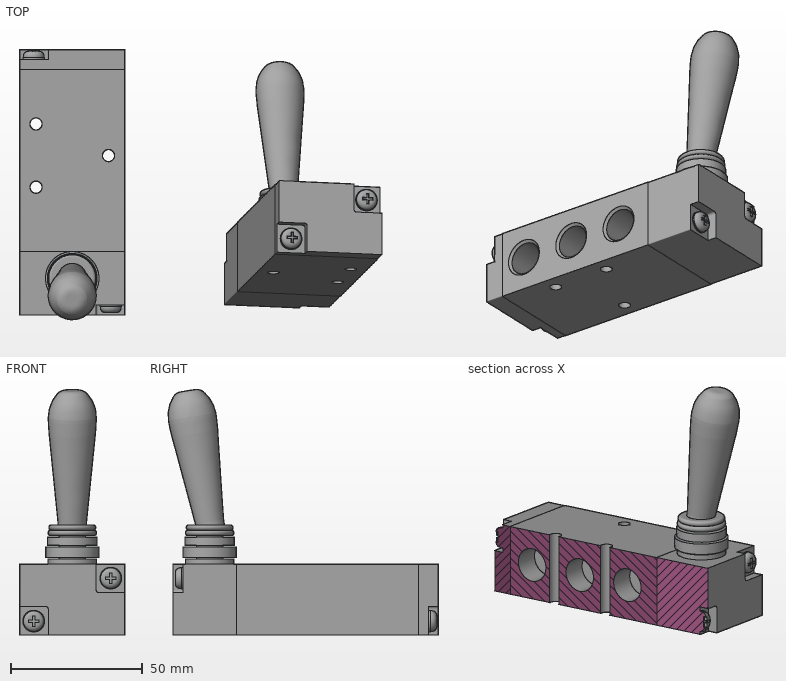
import cadquery as cq


WIDTH = 40.0
HEIGHT = 27.0
LENGTH = 101.0
FRONT_CAP_LENGTH = 24.2
REAR_CAP_LENGTH = 7.5
BODY_LENGTH = LENGTH - FRONT_CAP_LENGTH - REAR_CAP_LENGTH
CAP_EDGE_RADIUS = 0.3

PORT_PITCH = 22.5
PORT_MOUTH_DIAMETER = 14.7
PORT_DIAMETER = 12.7
PORT_CHAMFER = (PORT_MOUTH_DIAMETER - PORT_DIAMETER) / 2
PORT_DEPTH = 15.4
PORT_CENTER_Y = 60.7
PORT_CENTER_Z = HEIGHT / 2

MOUNT_DIAMETER = 4.5
MOUNT_X = 13.8
MOUNT_PITCH = 24.1

NOTCH_SIZE = 10.9
NOTCH_DEPTH = 3.8
NOTCH_RADIUS = 1
SCREW_INSET = 5.3
SCREW_X = WIDTH / 2 - SCREW_INSET
SCREW_Z = HEIGHT / 2 - SCREW_INSET
SCREW_RADIUS = 4.1
SCREW_DOME_RADIUS = 2.0
SCREW_RIM = 0.4
SCREW_STEP = 0.15
FRONT_HEAD_HEIGHT = 2.9
REAR_HEAD_HEIGHT = 3.2
CROSS_LENGTH = 2 * (SCREW_RADIUS - SCREW_STEP - SCREW_DOME_RADIUS)
CROSS_WIDTH = 0.9
CROSS_DEPTH = 1

COLLAR_Y = 14.0
COLLAR_CORE_RADIUS = 5.0
COLLAR_GAP = 0.5
PEDESTAL_RADIUS = 9.3
PEDESTAL_HEIGHT = 2.0
LARGE_NUT_RADIUS = 10.2
LARGE_NUT_HEIGHT = 4.1
SMALL_NUT_RADIUS = 9.5
SMALL_NUT_HEIGHT = 3.2
BEAD_ROUND = 1
LOWER_BEAD_RADIUS = 9.3
UPPER_BEAD_RADIUS = 8.9

LARGE_NUT_BASE = HEIGHT + PEDESTAL_HEIGHT + COLLAR_GAP
SMALL_NUT_BASE = LARGE_NUT_BASE + LARGE_NUT_HEIGHT + COLLAR_GAP
LOWER_BEAD_BASE = SMALL_NUT_BASE + SMALL_NUT_HEIGHT + COLLAR_GAP
UPPER_BEAD_BASE = LOWER_BEAD_BASE + 2 * BEAD_ROUND
COLLAR_TOP = UPPER_BEAD_BASE + 2 * BEAD_ROUND

LEVER_TILT = 9.4
LEVER_FOOT_Z = 42.9
LEVER_STEM_LENGTH = 3.1
LEVER_FOOT_RADIUS = 5.4
LEVER_TAPER_TOP = 34.2
LEVER_TAPER_TOP_RADIUS = 8.8
LEVER_BAND_BOTTOM = 39.3
LEVER_BAND_TOP = 40.6
LEVER_RADIUS = 9.1
LEVER_DOME_TOP = 49.4
LEVER_DOME_TOP_RADIUS = 5.8
LEVER_TIP = 50.8
LEVER_TIP_RADIUS = 2.4


def box_at(center_x, center_z, size_x, size_z, start_y, length):
    """Box standing on the plane Y = start_y and running toward +Y."""
    box = cq.Workplane("XY").box(size_x, length, size_z)
    return box.translate((center_x, start_y + length / 2, center_z))


def cap_block(start_y, length):
    """Cap blank with its long edges slightly rounded."""
    block = box_at(0, HEIGHT / 2, WIDTH, HEIGHT, start_y, length)
    return block.edges("|Y").fillet(CAP_EDGE_RADIUS)


def notch(side_x, side_z, start_y):
    """Corner cutter with a rounded inner corner, for the corner on the given sides."""
    size = 2 * NOTCH_SIZE
    corner_x = side_x * WIDTH / 2
    corner_z = HEIGHT / 2 + side_z * HEIGHT / 2
    cutter = box_at(corner_x, corner_z, size, size, start_y, NOTCH_DEPTH)
    return cutter.edges("|Y").fillet(NOTCH_RADIUS)


def screw_head(side_x, side_z, seat_y, height, facing):
    """Domed cross-recess head on the plane Y = seat_y, facing -Y (-1) or +Y (1)."""
    dome_base_radius = SCREW_RADIUS - SCREW_STEP
    rim_height = height - SCREW_DOME_RADIUS - SCREW_RIM
    rim = cq.Workplane("XY").circle(SCREW_RADIUS).extrude(rim_height)
    dome = cq.Workplane("XY").circle(dome_base_radius).extrude(height)
    dome = dome.faces(">Z").edges().fillet(SCREW_DOME_RADIUS)
    head = rim.union(dome)
    for size_x, size_y in ((CROSS_LENGTH, CROSS_WIDTH), (CROSS_WIDTH, CROSS_LENGTH)):
        slot = cq.Workplane("XY").box(size_x, size_y, CROSS_DEPTH)
        head = head.cut(slot.translate((0, 0, height - CROSS_DEPTH / 2)))
    head = head.rotate((0, 0, 0), (1, 0, 0), -90 * facing)
    return head.translate((side_x * SCREW_X, seat_y, HEIGHT / 2 + side_z * SCREW_Z))


def add_screws(cap, corners, notch_y, seat_y, head_height, facing):
    """Notch the listed corners of a cap and put a screw head in each."""
    for side_x, side_z in corners:
        cap = cap.cut(notch(side_x, side_z, notch_y))
        cap = cap.union(screw_head(side_x, side_z, seat_y, head_height, facing))
    return cap


def disc(radius, base_z, height):
    """Collar disc rising from base_z."""
    return cq.Workplane("XY").circle(radius).extrude(height).translate((0, COLLAR_Y, base_z))


def bead(radius, base_z):
    """Collar ring with a fully rounded rim."""
    straight = radius - BEAD_ROUND
    profile = (
        cq.Workplane("XZ")
        .lineTo(straight, 0)
        .tangentArcPoint((radius, BEAD_ROUND), relative=False)
        .tangentArcPoint((straight, 2 * BEAD_ROUND), relative=False)
        .lineTo(0, 2 * BEAD_ROUND)
        .close()
    )
    return profile.revolve(360, (0, 0, 0), (0, 1, 0)).translate((0, COLLAR_Y, base_z))


def make_collar():
    """Stepped collar: pedestal, two nuts and two beads around one core."""
    collar = disc(COLLAR_CORE_RADIUS, HEIGHT, COLLAR_TOP - HEIGHT)
    collar = collar.union(disc(PEDESTAL_RADIUS, HEIGHT, PEDESTAL_HEIGHT))
    collar = collar.union(disc(LARGE_NUT_RADIUS, LARGE_NUT_BASE, LARGE_NUT_HEIGHT))
    collar = collar.union(disc(SMALL_NUT_RADIUS, SMALL_NUT_BASE, SMALL_NUT_HEIGHT))
    collar = collar.union(bead(LOWER_BEAD_RADIUS, LOWER_BEAD_BASE))
    return collar.union(bead(UPPER_BEAD_RADIUS, UPPER_BEAD_BASE))


def make_front_cap():
    cap = cap_block(0, FRONT_CAP_LENGTH)
    cap = add_screws(cap, ((1, 1), (-1, -1)), 0, NOTCH_DEPTH, FRONT_HEAD_HEIGHT, -1)
    return cap.union(make_collar())


def make_rear_cap():
    seat_y = LENGTH - NOTCH_DEPTH
    cap = cap_block(LENGTH - REAR_CAP_LENGTH, REAR_CAP_LENGTH)
    return add_screws(cap, ((-1, 1), (1, -1)), seat_y, seat_y, REAR_HEAD_HEIGHT, 1)


def make_valve_body():
    body = box_at(0, HEIGHT / 2, WIDTH, HEIGHT, FRONT_CAP_LENGTH, BODY_LENGTH)

    for step in (-1, 0, 1):
        port = cq.Workplane("YZ").circle(PORT_DIAMETER / 2).extrude(PORT_DEPTH)
        mouth = cq.Workplane("YZ").circle(PORT_MOUTH_DIAMETER / 2).extrude(PORT_CHAMFER, taper=45)
        place = (-WIDTH / 2, PORT_CENTER_Y + step * PORT_PITCH, PORT_CENTER_Z)
        body = body.cut(port.union(mouth).translate(place))

    for x, offset_y in ((-MOUNT_X, -MOUNT_PITCH / 2), (-MOUNT_X, MOUNT_PITCH / 2), (MOUNT_X, 0)):
        hole = cq.Workplane("XY").circle(MOUNT_DIAMETER / 2).extrude(HEIGHT)
        body = body.cut(hole.translate((x, PORT_CENTER_Y + offset_y, 0)))
    return body


def make_lever():
    """Turned lever, tilted toward -Y and trimmed flat where it stands on the collar."""
    lever = (
        cq.Workplane("XZ")
        .moveTo(0, -LEVER_STEM_LENGTH)
        .lineTo(LEVER_FOOT_RADIUS, -LEVER_STEM_LENGTH)
        .lineTo(LEVER_FOOT_RADIUS, 0)
        .lineTo(LEVER_TAPER_TOP_RADIUS, LEVER_TAPER_TOP)
        .tangentArcPoint((LEVER_RADIUS, LEVER_BAND_BOTTOM), relative=False)
        .lineTo(LEVER_RADIUS, LEVER_BAND_TOP)
        .tangentArcPoint((LEVER_DOME_TOP_RADIUS, LEVER_DOME_TOP), relative=False)
        .tangentArcPoint((LEVER_TIP_RADIUS, LEVER_TIP), relative=False)
        .lineTo(0, LEVER_TIP)
        .close()
        .revolve(360, (0, 0, 0), (0, 1, 0))
    )
    lever = lever.rotate((0, 0, 0), (1, 0, 0), LEVER_TILT)
    lever = lever.translate((0, COLLAR_Y, LEVER_FOOT_Z))
    return lever.cut(disc(2 * LARGE_NUT_RADIUS, 0, COLLAR_TOP))


front_cap = make_front_cap()
valve_body = make_valve_body()
rear_cap = make_rear_cap()
lever = make_lever()

result = cq.Compound.makeCompound(
    [front_cap.val(), valve_body.val(), rear_cap.val(), lever.val()]
)